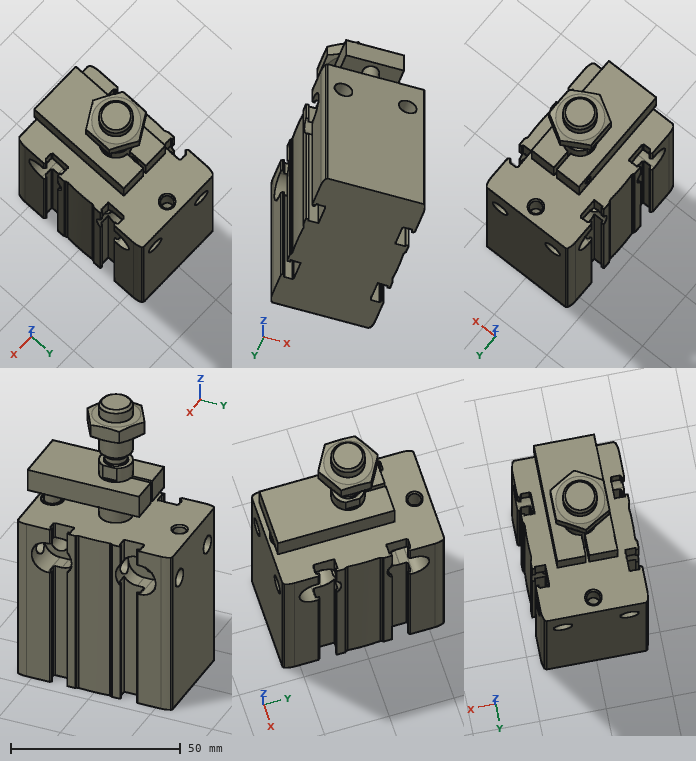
import cadquery as cq
import math

body_width = 32.0
body_length = 50.0
body_height = 53.0
total_height = 92.0

corner_arc_start = 21.7
corner_arc_end = 24.6
corner_arc_drop = 0.55
corner_bevel = 0.55

slot_mouth_inner = 8.6
slot_mouth_outer = 13.7
slot_pocket_inner = 8.0
slot_pocket_outer = 14.6
slot_lip = 0.9
slot_depth = 4.05
slot_lip_bevel = 0.5
slot_pocket_bevel = 0.4

strip_shoulder = 6.0
strip_step = 5.6
strip_edge = 5.0
strip_step_depth = 0.3
strip_edge_depth = 0.5
strip_crown_depth = 0.3

cross_hole_diameter = 5.5
cross_hole_height = 43.1
end_hole_spacing = 20.0
side_hole_spacing = 30.0
counterbore_diameter = 10.0
counterbore_stretch = 2.85
counterbore_depth = 9.0

guide_offset = 20.5
guide_diameter = 5.0
guide_engagement = 6.4
bush_diameter = 6.6
bush_bore_bevel = 0.3
bush_seat_bevel = 0.2
port_diameter = 4.0
port_mouth_diameter = 5.0
port_depth = 7.4
drill_point_angle = 118.0

rod_diameter = 10.0
rod_engagement = 18.4
rod_shoulder_height = 71.9
rod_flat_bottom = 67.7
rod_flat_width = 9.0
neck_diameter = 6.6
neck_root_bevel = 0.4
thread_taper_bottom = 73.9
thread_tip_diameter = 8.65
thread_tip_bevel_height = 0.9

nut_sides = 6
nut_width = 16.0
nut_face_diameter = 14.4
nut_bottom = 82.9
nut_height = 5.0
nut_bevel_angle = 15.0

plate_width = 18.0
plate_back = 11.5
plate_front = -24.5
plate_bottom = 60.1
plate_thickness = 7.1
plate_slit = 1.0
clamp_hole_diameter = 2.5
clamp_hole_y = 7.2

half_width = body_width / 2
half_length = body_length / 2
plate_top = plate_bottom + plate_thickness
rod_radius = rod_diameter / 2
neck_radius = neck_diameter / 2


def cylinder(diameter, bottom, top, x=0.0, y=0.0):
    """Upright cylinder between two heights."""
    return cq.Workplane("XY", origin=(x, y, bottom)).circle(diameter / 2).extrude(top - bottom)


def cone(bottom_diameter, top_diameter, bottom, top, x=0.0, y=0.0):
    """Upright cone frustum, or a full cone when one diameter is zero."""
    solid = cq.Solid.makeCone(
        bottom_diameter / 2, top_diameter / 2, top - bottom, cq.Vector(x, y, bottom)
    )
    return cq.Workplane(obj=solid)


def housing_blank():
    """Extruded block with arced corners and a crowned strip on both sides."""
    corner_x = half_width - corner_arc_drop
    arc_rise = corner_arc_end - corner_arc_start
    arc_radius = (arc_rise**2 + corner_arc_drop**2) / (2 * corner_arc_drop)
    half_angle = math.asin(arc_rise / arc_radius) / 2
    mid_x = half_width - arc_radius * (1 - math.cos(half_angle))
    mid_y = corner_arc_start + arc_radius * math.sin(half_angle)
    step_x = half_width - strip_step_depth
    edge_x = half_width - strip_edge_depth
    crown_x = half_width - strip_crown_depth

    end_x = corner_x - corner_bevel

    outline = cq.Workplane("XY").moveTo(-end_x, -half_length)
    for side in (1, -1):
        outline = (
            outline.lineTo(side * end_x, -side * half_length)
            .lineTo(side * corner_x, -side * corner_arc_end)
            .threePointArc((side * mid_x, -side * mid_y), (side * half_width, -side * corner_arc_start))
            .lineTo(side * half_width, -side * strip_shoulder)
            .lineTo(side * step_x, -side * strip_step)
            .lineTo(side * edge_x, -side * strip_edge)
            .threePointArc((side * crown_x, 0), (side * edge_x, side * strip_edge))
            .lineTo(side * step_x, side * strip_step)
            .lineTo(side * half_width, side * strip_shoulder)
            .lineTo(side * half_width, side * corner_arc_start)
            .threePointArc((side * mid_x, side * mid_y), (side * corner_x, side * corner_arc_end))
            .lineTo(side * end_x, side * half_length)
        )
    return outline.close().extrude(body_height)


def t_slot(side, end):
    """T slot running the full height; side and end are the signs of its X and Y."""
    points = [
        (half_width, slot_mouth_inner),
        (half_width - slot_lip, slot_mouth_inner),
        (half_width - slot_lip, slot_pocket_inner),
        (half_width - slot_depth, slot_pocket_inner),
        (half_width - slot_depth, slot_pocket_outer - slot_pocket_bevel),
        (half_width - slot_depth + slot_pocket_bevel, slot_pocket_outer),
        (half_width - slot_lip - slot_pocket_bevel, slot_pocket_outer),
        (half_width - slot_lip, slot_pocket_outer - slot_pocket_bevel),
        (half_width - slot_lip, slot_mouth_outer),
        (half_width - slot_lip_bevel, slot_mouth_outer),
        (half_width, slot_mouth_outer + slot_lip_bevel),
    ]
    placed = [(side * x, end * y) for x, y in points]
    return cq.Workplane("XY").polyline(placed).close().extrude(body_height)


def end_hole(x):
    """Hole along Y through both end faces."""
    plane = cq.Workplane("XZ", origin=(x, half_length, cross_hole_height))
    return plane.circle(cross_hole_diameter / 2).extrude(body_length)


def side_hole(end):
    """Hole along X with an oblong counterbore, stretched toward the rod, in each side."""
    hole_y = end * side_hole_spacing / 2
    plane = cq.Workplane("YZ", origin=(-half_width, hole_y, cross_hole_height))
    cutter = plane.circle(cross_hole_diameter / 2).extrude(body_width)
    oblong_length = counterbore_diameter + counterbore_stretch
    oblong_y = hole_y - end * counterbore_stretch / 2
    for start_x in (-half_width, half_width - counterbore_depth):
        oblong = (
            cq.Workplane("YZ", origin=(start_x, oblong_y, cross_hole_height))
            .slot2D(oblong_length, counterbore_diameter)
            .extrude(counterbore_depth)
        )
        cutter = cutter.union(oblong)
    return cutter


def port():
    """Blind drilled hole in the top with a bevelled mouth and a drill point."""
    bottom = body_height - port_depth
    mouth_bevel = (port_mouth_diameter - port_diameter) / 2
    point_height = port_diameter / 2 / math.tan(math.radians(drill_point_angle / 2))
    hole = cylinder(port_diameter, bottom, body_height, y=guide_offset)
    mouth = cone(port_diameter, port_mouth_diameter, body_height - mouth_bevel, body_height, y=guide_offset)
    point = cone(0, port_diameter, bottom - point_height, bottom, y=guide_offset)
    return hole.union(mouth).union(point)


def bush_seat():
    """Blind bore for the guide bush with a bevelled mouth."""
    bore = cylinder(bush_diameter, body_height - guide_engagement, body_height, y=-guide_offset)
    mouth = cone(
        bush_diameter,
        bush_diameter + 2 * bush_seat_bevel,
        body_height - bush_seat_bevel,
        body_height,
        y=-guide_offset,
    )
    return bore.union(mouth)


def make_housing():
    body = housing_blank()
    for end in (1, -1):
        for side in (1, -1):
            body = body.cut(t_slot(side, end))
        body = body.cut(side_hole(end))
        body = body.cut(end_hole(end * end_hole_spacing / 2))
    body = body.cut(port()).cut(bush_seat())
    return body.cut(cylinder(rod_diameter, body_height - rod_engagement, body_height))


def make_bush():
    """Sleeve flush with the housing top, with a bevelled bore."""
    sleeve = cylinder(bush_diameter, body_height - guide_engagement, body_height, y=-guide_offset)
    bore = cylinder(guide_diameter, body_height - guide_engagement, body_height, y=-guide_offset)
    mouth = cone(
        guide_diameter,
        guide_diameter + 2 * bush_bore_bevel,
        body_height - bush_bore_bevel,
        body_height,
        y=-guide_offset,
    )
    return sleeve.cut(bore).cut(mouth)


def make_guide_pin():
    """Plain pin from the bottom of the bush up to the underside of the plate."""
    return cylinder(guide_diameter, body_height - guide_engagement, plate_bottom, y=-guide_offset)


def make_rod():
    """Turned rod with two wrench flats, a neck and a threaded end without modelled thread."""
    taper_top = thread_taper_bottom + rod_radius - neck_radius
    profile = [
        (0, body_height - rod_engagement),
        (rod_radius, body_height - rod_engagement),
        (rod_radius, rod_shoulder_height),
        (neck_radius + neck_root_bevel, rod_shoulder_height),
        (neck_radius, rod_shoulder_height + neck_root_bevel),
        (neck_radius, thread_taper_bottom),
        (rod_radius, taper_top),
        (rod_radius, total_height - thread_tip_bevel_height),
        (thread_tip_diameter / 2, total_height),
        (0, total_height),
    ]
    rod = cq.Workplane("XZ").polyline(profile).close().revolve(360, (0, 0, 0), (0, 1, 0))
    flat_height = rod_shoulder_height - rod_flat_bottom
    for side in (1, -1):
        flat = (
            cq.Workplane("XY", origin=(side * rod_diameter, 0, rod_flat_bottom))
            .rect(2 * rod_diameter - rod_flat_width, 2 * rod_diameter)
            .extrude(flat_height)
        )
        rod = rod.cut(flat)
    return rod


def make_nut():
    """Hexagon nut with conical bevels on both faces and two flats facing X."""
    corner_diameter = nut_width / math.cos(math.pi / nut_sides)
    bevel_height = (corner_diameter - nut_face_diameter) / 2 * math.tan(math.radians(nut_bevel_angle))
    nut_top = nut_bottom + nut_height
    hexagon = (
        cq.Workplane("XY", origin=(0, 0, nut_bottom))
        .polygon(nut_sides, corner_diameter)
        .extrude(nut_height)
        .rotate((0, 0, 0), (0, 0, 1), 90)
    )
    envelope = (
        cylinder(corner_diameter, nut_bottom + bevel_height, nut_top - bevel_height)
        .union(cone(nut_face_diameter, corner_diameter, nut_bottom, nut_bottom + bevel_height))
        .union(cone(corner_diameter, nut_face_diameter, nut_top - bevel_height, nut_top))
    )
    return hexagon.intersect(envelope).cut(cylinder(rod_diameter, nut_bottom, nut_top))


def make_plate():
    """Bar with a rod bore, a clamping slit at the back and a clamp hole that ends in the slit."""
    bar = (
        cq.Workplane("XY", origin=(0, (plate_back + plate_front) / 2, plate_bottom))
        .rect(plate_width, plate_back - plate_front)
        .extrude(plate_thickness)
    )
    slit = (
        cq.Workplane("XY", origin=(0, plate_back / 2, plate_bottom))
        .rect(plate_slit, plate_back)
        .extrude(plate_thickness)
    )
    clamp_hole = (
        cq.Workplane("YZ", origin=(-plate_width / 2, clamp_hole_y, plate_bottom + plate_thickness / 2))
        .circle(clamp_hole_diameter / 2)
        .extrude(plate_width / 2)
    )
    return bar.cut(cylinder(rod_diameter, plate_bottom, plate_top)).cut(slit).cut(clamp_hole)


housing = make_housing()
bush = make_bush()
guide_pin = make_guide_pin()
rod = make_rod()
nut = make_nut()
plate = make_plate()

result = cq.Compound.makeCompound(
    [housing.val(), bush.val(), guide_pin.val(), rod.val(), nut.val(), plate.val()]
)